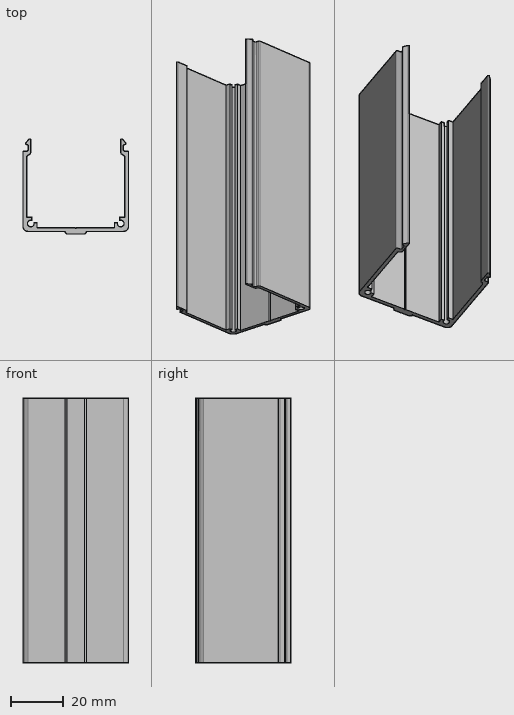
import cadquery as cq

length = 100.0
half_width = 20.0
depth_above_base = 35.0
wall = 1.5
corner_radius = 2.0

strip_half_width = 4.0
strip_height = 1.0
strip_chamfer = 0.6

groove_half_width = 0.3
groove_depth = 0.3

channel_block = 5.4
channel_center = 3.0
channel_radius = 1.2
channel_mouth = 3.4

shoulder_y = 30.4
shoulder_radius = 0.5
hook_inner_x = 17.0
hook_neck_x = 18.0
hook_tip_x = 17.6
tip_radius = 0.2
barb_x = 19.0
barb_top_y = 33.4
barb_bottom_y = 33.0
barb_root_y = 32.6
jog_top_y = 29.4
jog_bottom_y = 28.5
jog_radius = 0.7


def prism(points):
    """Extrude a closed XY outline over the full length."""
    return cq.Workplane("XY").polyline(points).close().extrude(length)


def block(x_min, x_max, y_min, y_max):
    """Full-length rectangular bar between the given limits."""
    return prism([(x_min, y_min), (x_max, y_min), (x_max, y_max), (x_min, y_max)])


def snap_wall():
    """Left side wall, stepping inward to a hook with an outward barb."""
    wall_and_hook = prism([
        (-half_width, 0),
        (-half_width, shoulder_y),
        (-hook_neck_x, shoulder_y),
        (-hook_neck_x, barb_root_y),
        (-barb_x, barb_bottom_y),
        (-barb_x, barb_top_y),
        (-hook_tip_x, depth_above_base),
        (-hook_inner_x, depth_above_base),
        (-hook_inner_x, jog_top_y),
        (-half_width + wall, jog_bottom_y),
        (-half_width + wall, 0),
    ])
    rounded_corners = [
        (-half_width, shoulder_y, shoulder_radius),
        (-hook_neck_x, shoulder_y, shoulder_radius),
        (-hook_inner_x, jog_top_y, jog_radius),
        (-half_width + wall, jog_bottom_y, jog_radius),
        (-hook_tip_x, depth_above_base, tip_radius),
        (-hook_inner_x, depth_above_base, tip_radius),
        (-barb_x, barb_top_y, tip_radius),
    ]
    for x, y, radius in rounded_corners:
        edge = cq.selectors.NearestToPointSelector((x, y, length / 2))
        wall_and_hook = wall_and_hook.edges("|Z").edges(edge).fillet(radius)
    return wall_and_hook


def screw_channel():
    """Left corner block with a round bore opening diagonally inward."""
    left = -half_width
    corner = block(left, left + channel_block, 0, channel_block)
    mouth = block(left + channel_mouth, left + channel_block, channel_mouth, channel_block)
    bore = (
        cq.Workplane("XY")
        .center(left + channel_center, channel_center)
        .circle(channel_radius)
        .extrude(length)
    )
    return corner.cut(mouth).cut(bore)


def base_strip():
    """Raised outer strip with both long outer edges chamfered."""
    strip = block(-strip_half_width, strip_half_width, -strip_height, wall)
    return strip.edges("|Z and <Y").chamfer(strip_chamfer)


def center_groove():
    """V-shaped cutter for the inner base face."""
    return prism([
        (-groove_half_width, wall),
        (groove_half_width, wall),
        (0, wall - groove_depth),
    ])


left_side = snap_wall().union(screw_channel())
base = block(-half_width, half_width, 0, wall)
channel = base.union(left_side).union(left_side.mirror("YZ"))

channel = channel.edges("|Z and (<X or >X)").edges("<Y").fillet(corner_radius)
result = channel.union(base_strip()).cut(center_groove())